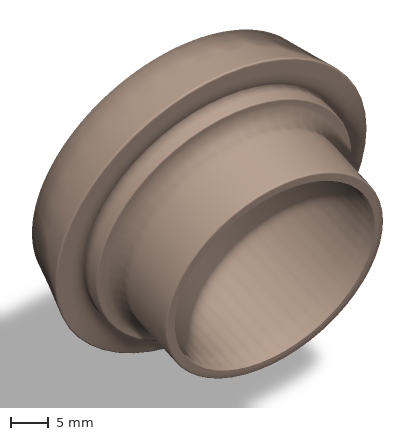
import cadquery as cq
import math

total_length = 25.0
edge_round = 0.25

flange_radius = 24.95
flange_length = 10.0
flange_taper = math.radians(15)

collar_radius = 20.5
collar_end = 13.0
collar_root_round = 0.15

tube_radius = 17.45
neck_radius = 2.4

bore_radius = 16.0
mouth_radius = 16.45
mouth_round = 0.2
face_slope = math.radians(5)

back_corner_radius = flange_radius - edge_round * (
    1 - math.cos(flange_taper) - math.tan(flange_taper) * (1 + math.sin(flange_taper))
)

face_lean = math.tan(face_slope)
taper_rise = math.tan(flange_taper)
side_radius_at_front = back_corner_radius - taper_rise * flange_length
rim_x = face_lean * (side_radius_at_front - mouth_radius) / (1 - face_lean * taper_rise)
rim_radius = side_radius_at_front + taper_rise * rim_x

neck_end = collar_end + neck_radius
neck_top = tube_radius + neck_radius
neck_diagonal = neck_radius * math.sqrt(0.5)

ring = (
    cq.Workplane("XY")
    .moveTo(0, bore_radius)
    .lineTo(0, mouth_radius)
    .lineTo(rim_x, rim_radius)
    .lineTo(flange_length, back_corner_radius)
    .lineTo(flange_length, collar_radius)
    .lineTo(collar_end, collar_radius)
    .lineTo(collar_end, neck_top)
    .threePointArc((neck_end - neck_diagonal, neck_top - neck_diagonal), (neck_end, tube_radius))
    .lineTo(total_length, tube_radius)
    .lineTo(total_length, bore_radius)
    .close()
    .revolve(360, (0, 0, 0), (1, 0, 0))
)


def round_edge(body, x, radius, size):
    """Round the circular edge that has the given axial position and radius."""
    tolerance = 0.0005
    edges = [
        edge
        for edge in body.edges("%CIRCLE").vals()
        if abs(edge.Center().x - x) < tolerance and abs(edge.radius() - radius) < tolerance
    ]
    return body.newObject(edges).fillet(size)


ring = round_edge(ring, flange_length, collar_radius, collar_root_round)
ring = round_edge(ring, 0, bore_radius, mouth_round)
for edge_x, edge_radius in [
    (rim_x, rim_radius),
    (flange_length, back_corner_radius),
    (collar_end, collar_radius),
    (total_length, tube_radius),
]:
    ring = round_edge(ring, edge_x, edge_radius, edge_round)

result = ring